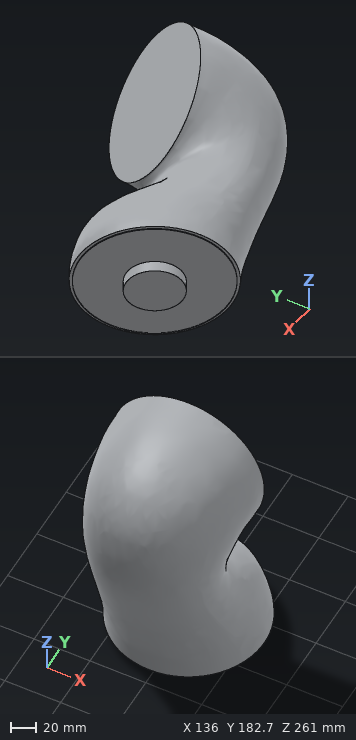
import cadquery as cq
import math

end_diameter = 136.0
end_radius = end_diameter / 2
total_height = 261.0
peg_height = 10.5
peg_radius = 25.0
base_plate_thickness = 0.8
base_plate_radius = end_radius - 2.5
mouth_centre_z = total_height - peg_height - end_radius
points_per_section = 16

neck_sections = [
    ((-end_radius, 0), (0, 0), (end_radius, 0), end_radius),
    ((-70.7, 17.7), (-5.2, 17.7), (67.3, 17.7), 66.0),
    ((-76.2, 39.1), (-18.0, 39.1), (57.0, 42.8), 63.0),
    ((-90.3, 82.5), (-39.1, 74.6), (21.7, 74.6), 58.2),
    ((-102.0, 113.8), (-52.2, 106.0), (3.0, 92.0), 55.8),
    ((-113.0, 153.2), (-55.8, 133.4), (-4.0, 104.0), 57.2),
    ((-109.9, 200.2), (-49.8, 154.2), (-4.5, 109.5), 60.8),
    ((-86.5, 230.5), (-37.3, 170.7), (-3.1, 112.2), 64.2),
    ((-68.6, 239.5), (-30.0, 176.0), (-2.3, 113.0), 65.5),
    ((-49.0, 245.8), (-21.7, 179.3), (-1.5, 113.8), 66.8),
    ((-21.7, 249.7), (-9.5, 182.0), (-0.8, 114.3), 67.8),
    (
        (0, mouth_centre_z + end_radius),
        (0, mouth_centre_z),
        (0, mouth_centre_z - end_radius),
        end_radius,
    ),
]


def section_wire(outer, side, inner, half_width):
    """Closed smooth loop made of an outer and an inner half ellipse joined at the sides."""
    points = []
    for index in range(points_per_section):
        angle = 2 * math.pi * index / points_per_section
        reach = math.cos(angle)
        tip = outer if reach >= 0 else inner
        y = side[0] + abs(reach) * (tip[0] - side[0])
        z = side[1] + abs(reach) * (tip[1] - side[1])
        points.append(cq.Vector(half_width * math.sin(angle), y, z))
    return cq.Wire.assembleEdges([cq.Edge.makeSpline(points, periodic=True)])


def make_neck():
    """Smooth bent body through all the sections."""
    return cq.Solid.makeLoft([section_wire(*section) for section in neck_sections])


def make_peg():
    """Round locating peg under the base."""
    return cq.Workplane("XY").circle(peg_radius).extrude(-peg_height)


def make_base_plate():
    """Thin disc under the body, set in slightly from the base edge."""
    return cq.Workplane("XY").circle(base_plate_radius).extrude(-base_plate_thickness)


result = make_peg().union(make_base_plate()).union(cq.Workplane(make_neck()))